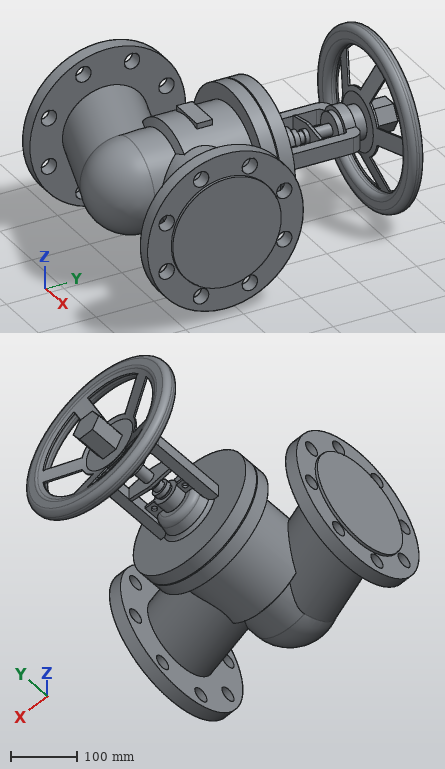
import cadquery as cq
import math


diagonal = math.sin(math.radians(45))

face_to_face = 400.0
flange_radius = 135.0
flange_thickness = 23.0
raised_face_radius = 94.0
raised_face_height = 5.0
bolt_circle_radius = 110.0
bolt_hole_radius = 13.0
bolt_count = 8
flange_outer_x = face_to_face / 2 - raised_face_height
flange_inner_x = flange_outer_x - flange_thickness

pipe_radius = 70.5
inlet_end_y = -61.5
outlet_end_y = 42.5
bulb_radius = 77.0
bulb_center_y = -56.0
neck_top_y = -3.5
chamber_radius = 90.5
chamber_bottom_y = 2.5

bonnet_radius = 117.5
bonnet_flange_thickness = 23.5
gasket_radius = 106.5
gasket_thickness = 2.0
joint_bottom_y = 115.0
gasket_bottom_y = joint_bottom_y + bonnet_flange_thickness
bonnet_bottom_y = gasket_bottom_y + gasket_thickness
bonnet_top_y = bonnet_bottom_y + bonnet_flange_thickness

plate_length = 63.0
plate_height = 27.5
plate_center_y = 55.0
plate_top_z = 94.5

dome_top_y = 196.5
dome_top_radius = 31.0
dome_shoulder_radius = 43.0
dome_shoulder_y = 185.0
dome_waist_radius = 47.0
dome_waist_y = 169.5
dome_foot_radius = 54.0
dome_foot_sag = 0.8

packing_radius = 22.5
packing_top_y = 217.5
gland_neck_radius = 13.5
gland_radius = 15.5
gland_bottom_y = 221.0
gland_top_y = 230.0
spindle_radius = 10.0
spindle_collar_radius = 12.0
spindle_collar_bottom_y = 241.0

indicator_bottom_y = 248.0
indicator_thickness = 5.5
indicator_radius = 21.5
indicator_end_half_width = 15.0

yoke_half_width = 60.0
yoke_bar = 18.0
yoke_depth = 27.5
yoke_top_y = 316.0
yoke_outer_corner = 20.0
yoke_inner_corner = 8.5
yoke_inner_x = yoke_half_width - yoke_bar
lug_thickness = 5.5
lug_hole_radius = 5.0
lug_hole_x = 32.0
lug_hole_y = 207.5

bush_radius = 28.5
bush_bottom_y = 288.5
bush_collar_radius = 35.5
bush_collar_bottom_y = 297.5

wheel_radius = 300.0 / 2
rim_width = 32.5
rim_height = 24.0
rim_round = 10.0
rim_center_y = 359.0
hub_bottom_y = 337.0
hub_face_radius = 48.5
hub_edge_radius = 56.5
web_thickness = 3.0
web_radius = 124.5
web_edge_y = 367.0
window_outer_radius = 115.0
spoke_width = 30.0
spoke_count = 5
nut_corner_radius = 27.0
nut_top_y = 392.0


def along_y(bottom):
    """Work plane at height `bottom` on the spindle axis, extruding toward +Y (local y is -Z)."""
    return cq.Workplane(cq.Plane(origin=(0, bottom, 0), xDir=(1, 0, 0), normal=(0, 1, 0)))


def post(radius, bottom, top):
    """Cylinder on the spindle axis."""
    return along_y(bottom).circle(radius).extrude(top - bottom)


def spin(profile):
    """Turn a closed (radius, y) profile around the spindle axis."""
    return profile.close().revolve(360, (0, 0, 0), (0, 1, 0))


def end_flange(side):
    """Flange with raised face and bolt holes; side is -1 for the inlet and +1 for the outlet."""
    plane = cq.Plane(origin=(side * flange_inner_x, 0, 0), xDir=(0, 1, 0), normal=(side, 0, 0))
    start = cq.Workplane(plane)
    first_hole = 180 / bolt_count
    holes = (
        start.polarArray(bolt_circle_radius, first_hole, 360, bolt_count)
        .circle(bolt_hole_radius)
        .extrude(flange_thickness)
    )
    raised = start.circle(raised_face_radius).extrude(flange_thickness + raised_face_height)
    return start.circle(flange_radius).extrude(flange_thickness).cut(holes).union(raised)


def sloping_pipe(side, end_y):
    """Round pipe from the middle of a flange's thickness to height `end_y` on the spindle axis."""
    start_x = side * (flange_inner_x + flange_outer_x) / 2
    end = cq.Vector(0, end_y, 0)
    run = cq.Vector(start_x, 0, 0) - end
    pipe = cq.Workplane(cq.Solid.makeCylinder(pipe_radius, run.Length * 2, end, run))
    trim_length = 2 * face_to_face
    beyond = cq.Workplane("XY").box(trim_length, trim_length, trim_length)
    return pipe.cut(beyond.translate((start_x + side * trim_length / 2, 0, 0)))


def body():
    bulb_mid = (bulb_radius * diagonal, bulb_center_y - bulb_radius * diagonal)
    shape = spin(
        cq.Workplane("XY")
        .moveTo(0, bulb_center_y - bulb_radius)
        .threePointArc(bulb_mid, (bulb_radius, bulb_center_y))
        .lineTo(bulb_radius, neck_top_y)
        .lineTo(chamber_radius, chamber_bottom_y)
        .lineTo(chamber_radius, joint_bottom_y)
        .lineTo(0, joint_bottom_y)
    )
    for side, end_y in ((-1, inlet_end_y), (1, outlet_end_y)):
        shape = shape.union(sloping_pipe(side, end_y)).union(end_flange(side))
    name_plate = (
        cq.Workplane("XY")
        .center(0, plate_center_y)
        .rect(plate_length, plate_height)
        .extrude(plate_top_z)
    )
    return shape.union(name_plate)


def bonnet():
    flanges = (
        post(bonnet_radius, joint_bottom_y, gasket_bottom_y)
        .union(post(gasket_radius, gasket_bottom_y, bonnet_bottom_y))
        .union(post(bonnet_radius, bonnet_bottom_y, bonnet_top_y))
    )
    shoulder_mid = (
        dome_top_radius + (dome_shoulder_radius - dome_top_radius) * diagonal,
        dome_shoulder_y + (dome_top_y - dome_shoulder_y) * diagonal,
    )
    dome = spin(
        cq.Workplane("XY")
        .moveTo(0, bonnet_top_y)
        .lineTo(dome_foot_radius, bonnet_top_y)
        .sagittaArc((dome_waist_radius, dome_waist_y), dome_foot_sag)
        .lineTo(dome_shoulder_radius, dome_shoulder_y)
        .threePointArc(shoulder_mid, (dome_top_radius, dome_top_y))
        .lineTo(0, dome_top_y)
    )
    return flanges.union(dome).union(post(packing_radius, bonnet_top_y, packing_top_y))


def spindle():
    return (
        post(gland_neck_radius, packing_top_y, gland_bottom_y)
        .union(post(gland_radius, gland_bottom_y, gland_top_y))
        .union(post(spindle_radius, gland_top_y, bush_bottom_y))
        .union(post(spindle_collar_radius, spindle_collar_bottom_y, indicator_bottom_y))
    )


def indicator():
    """Plate with a round middle and straight sides tapering to both yoke legs."""
    end_distance = math.hypot(yoke_inner_x, indicator_end_half_width)
    tangent_angle = math.atan2(indicator_end_half_width, yoke_inner_x) + math.acos(
        indicator_radius / end_distance
    )
    tangent_x = indicator_radius * math.cos(tangent_angle)
    tangent_z = indicator_radius * math.sin(tangent_angle)
    return (
        along_y(indicator_bottom_y)
        .moveTo(yoke_inner_x, -indicator_end_half_width)
        .lineTo(yoke_inner_x, indicator_end_half_width)
        .lineTo(tangent_x, tangent_z)
        .threePointArc((0, indicator_radius), (-tangent_x, tangent_z))
        .lineTo(-yoke_inner_x, indicator_end_half_width)
        .lineTo(-yoke_inner_x, -indicator_end_half_width)
        .lineTo(-tangent_x, -tangent_z)
        .threePointArc((0, -indicator_radius), (tangent_x, -tangent_z))
        .close()
        .extrude(indicator_thickness)
    )


def arch(half_width, top, corner, depth):
    """Block standing on the bonnet with its two upper corners rounded."""
    height = top - bonnet_top_y
    return (
        cq.Workplane("XY")
        .box(2 * half_width, height, depth, centered=(True, False, True))
        .translate((0, bonnet_top_y, 0))
        .edges("|Z and >Y")
        .fillet(corner)
    )


def yoke():
    window = arch(yoke_inner_x, bush_collar_bottom_y, yoke_inner_corner, yoke_depth)
    frame = arch(yoke_half_width, yoke_top_y, yoke_outer_corner, yoke_depth).cut(window)
    lug_height = packing_top_y - bonnet_top_y
    lugs = (
        cq.Workplane("XY")
        .box(2 * yoke_inner_x, lug_height, lug_thickness, centered=(True, False, True))
        .translate((0, bonnet_top_y, 0))
    )
    lug_holes = (
        cq.Workplane("XY")
        .pushPoints([(-lug_hole_x, lug_hole_y), (lug_hole_x, lug_hole_y)])
        .circle(lug_hole_radius)
        .extrude(lug_thickness, both=True)
    )
    bush = post(bush_radius, bush_bottom_y, hub_bottom_y)
    bush_collar = post(bush_collar_radius, bush_collar_bottom_y, yoke_top_y)
    return frame.union(lugs.cut(lug_holes)).union(bush).union(bush_collar)


def web():
    """Flat-bottomed cone of sheet running from the hub face up into the rim."""
    return spin(
        cq.Workplane("XY")
        .moveTo(0, hub_bottom_y)
        .lineTo(hub_face_radius, hub_bottom_y)
        .lineTo(web_radius, web_edge_y)
        .lineTo(web_radius, web_edge_y + web_thickness)
        .lineTo(hub_face_radius, hub_bottom_y + web_thickness)
        .lineTo(0, hub_bottom_y + web_thickness)
    )


def handwheel():
    rim_center_radius = wheel_radius - rim_width / 2
    rim_section = cq.Sketch().rect(rim_width, rim_height).vertices().fillet(rim_round)
    rim = (
        cq.Workplane("XY")
        .center(rim_center_radius, rim_center_y)
        .placeSketch(rim_section)
        .revolve(360, (-rim_center_radius, 0, 0), (-rim_center_radius, 1, 0))
    )
    windows = post(window_outer_radius, hub_bottom_y, nut_top_y).cut(
        post(hub_edge_radius, hub_bottom_y, nut_top_y)
    )
    for index in range(spoke_count):
        spoke = (
            cq.Workplane("XY")
            .box(wheel_radius, nut_top_y - hub_bottom_y, spoke_width, centered=(False, False, True))
            .translate((0, hub_bottom_y, 0))
            .rotate((0, 0, 0), (0, 1, 0), index * 360 / spoke_count)
        )
        windows = windows.cut(spoke)
    nut = (
        along_y(hub_bottom_y)
        .polygon(6, 2 * nut_corner_radius)
        .extrude(nut_top_y - hub_bottom_y)
    )
    return rim.union(web().cut(windows)).union(nut)


result = body().union(bonnet()).union(spindle()).union(indicator()).union(yoke()).union(handwheel())